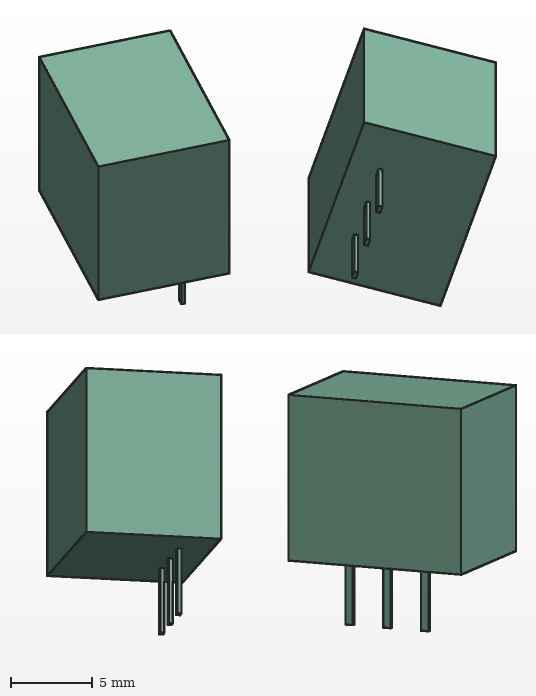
import cadquery as cq

body_length = 11.6
body_depth = 8.5
total_height = 14.5

pin_length = 4.1
pin_width = 0.5
pin_thickness = 0.25
pin_pitch = 2.54
pin_count = 3
pin_row_inset = 1.99

body_height = total_height - pin_length
pin_row_y = body_depth / 2 - pin_row_inset


def make_body():
    """Plain rectangular housing standing on the XY plane."""
    return cq.Workplane("XY").box(body_length, body_depth, body_height, centered=(True, True, False))


def make_pins():
    """Evenly spaced row of leads hanging from the underside."""
    return (
        cq.Workplane("XY")
        .center(0, pin_row_y)
        .rarray(pin_pitch, 0.15, pin_count, 1)
        .rect(pin_width, pin_thickness)
        .extrude(-pin_length)
    )


result = make_body().union(make_pins())